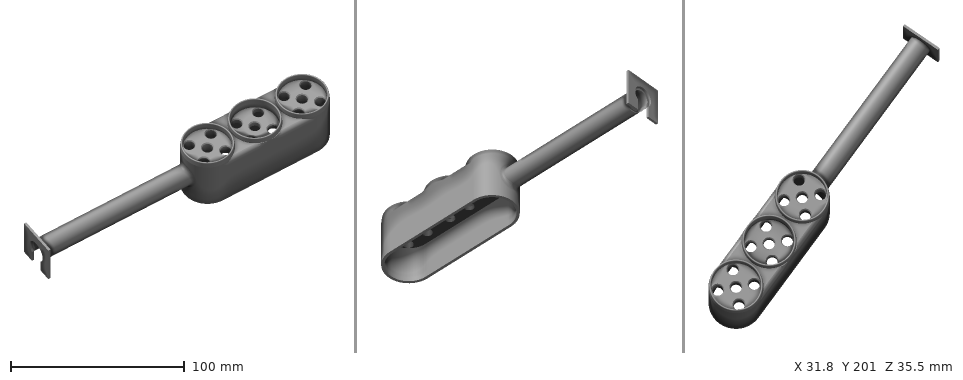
import cadquery as cq
import math

housing_width = 31.8
cup_pitch = 33.0
cup_count = 3
overall_length = 201.0
overall_height = 35.5
deck_height = 32.2
wall = 1.8
cavity_height = 25.3
housing_radius = housing_width / 2
end_cup_y = cup_pitch * (cup_count - 1) / 2
cup_positions = [cup_pitch * i - end_cup_y for i in range(cup_count)]

cup_base_diameter = housing_width
cup_shoulder_diameter = 31.0
recess_diameter = 28.5
rim_rounding = 0.5
end_floor_height = 31.4
middle_floor_height = 28.7

hole_diameter = 6.5
hole_spacing = 15.0
hole_chamfer = 0.6

edge_inset = 2.5
edge_drop = 3.0
end_run_out_start = 2.8
end_run_out_length = 2.6

tube_diameter = 13.3
bore_diameter = 10.2
tube_axis_height = 17.7
root_fillet = 2.0
notch_length = 6.6

plate_width = 24.7
plate_height = 25.3
plate_thickness = 1.5
slot_width = 8.8

housing_front_y = -end_cup_y - housing_radius
plate_back_y = end_cup_y + housing_radius - overall_length + plate_thickness


def disc(diameter, y, z, height):
    """Vertical cylinder centred at (0, y) that starts at height z."""
    return cq.Workplane("XY", origin=(0, y, z)).circle(diameter / 2).extrude(height)


def frustum(bottom_diameter, top_diameter, y, z, height):
    """Vertical truncated cone centred at (0, y) that starts at height z."""
    base = cq.Workplane("XY", origin=(0, y, z)).circle(bottom_diameter / 2)
    return base.workplane(offset=height).circle(top_diameter / 2).loft()


def edge_cutter(y, direction):
    """Sweep the waste outside the rounded +X top edge along a direction, starting at y."""
    x_inner = housing_radius - edge_inset
    z_lower = deck_height - edge_drop
    x_outer = housing_radius + edge_inset
    z_upper = deck_height + edge_drop
    radius = (edge_inset**2 + edge_drop**2) / (2 * edge_inset)
    half_angle = math.asin(edge_drop / radius) / 2
    arc_middle = (
        housing_radius - radius * (1 - math.cos(half_angle)),
        z_lower + radius * math.sin(half_angle),
    )
    profile = (
        cq.Workplane("XZ", origin=(0, y, 0))
        .moveTo(housing_radius, z_lower)
        .threePointArc(arc_middle, (x_inner, deck_height))
        .lineTo(x_inner, z_upper)
        .lineTo(x_outer, z_upper)
        .lineTo(x_outer, z_lower)
        .close()
    )
    return cq.Workplane(cq.Solid.extrudeLinear(profile.val(), [], cq.Vector(*direction)))


def rounded_edge_waste():
    """Waste along the +X top edge for the half of the housing at +Y."""
    deck_start = math.sqrt((cup_base_diameter / 2) ** 2 - (housing_radius - edge_inset) ** 2)
    deck_end = end_cup_y - end_run_out_start
    straight = edge_cutter(deck_start, (0, deck_end - deck_start, 0))
    middle_run_out = edge_cutter(deck_start, (0, -deck_start, edge_drop))
    end_run_out = edge_cutter(deck_end, (0, end_run_out_length, edge_drop))
    return straight.union(middle_run_out).union(end_run_out)


def make_body_block():
    """Solid block with its long top edges rounded between the cups."""
    block = (
        cq.Workplane("XY")
        .slot2D(2 * end_cup_y + housing_width, housing_width, 90)
        .extrude(deck_height)
    )
    waste = rounded_edge_waste()
    for y in cup_positions:
        waste = waste.cut(disc(cup_base_diameter, y, 0, overall_height))
    waste = waste.union(waste.mirror("XZ"))
    return block.cut(waste).cut(waste.mirror("YZ"))


def add_tube(block):
    """Join the tube to the front of the block with a fillet, and bore it up to the block's wall."""
    start_y = -end_cup_y
    start = (0, start_y, tube_axis_height)
    length = start_y - plate_back_y
    rod = cq.Workplane("XZ", origin=start).circle(tube_diameter / 2).extrude(length)
    bore = cq.Workplane("XZ", origin=start).circle(bore_diameter / 2).extrude(length)
    notch = (
        cq.Workplane("XY", origin=(0, plate_back_y, tube_axis_height - tube_diameter))
        .box(slot_width, notch_length, tube_diameter, centered=(True, False, False))
    )
    joined = block.union(rod)
    root = cq.NearestToPointSelector((0, housing_front_y, tube_axis_height))
    joined = joined.edges(root).fillet(root_fillet)
    return joined.cut(bore.cut(block)).cut(notch)


def make_rim(y):
    """Ring on the deck whose wall ends in a half-round top."""
    outer = cup_shoulder_diameter / 2
    inner = outer - 2 * rim_rounding
    shoulder = overall_height - rim_rounding
    return (
        cq.Workplane("XZ", origin=(0, y, 0))
        .moveTo(recess_diameter / 2, deck_height)
        .lineTo(cup_base_diameter / 2, deck_height)
        .lineTo(outer, shoulder)
        .threePointArc((outer - rim_rounding, overall_height), (inner, shoulder))
        .close()
        .revolve(360, (0, 0, 0), (0, 1, 0))
    )


def hole_points():
    """Hole centres relative to the cup's centre."""
    half = hole_spacing / 2
    return [(0, 0), (half, half), (half, -half), (-half, half), (-half, -half)]


def make_housing():
    """Hollow housing with its cups and holes, one piece with the tube."""
    housing = add_tube(make_body_block())
    for y in cup_positions:
        housing = housing.union(make_rim(y))
    cavity_width = housing_width - 2 * wall
    cavity = cq.Workplane("XY").slot2D(2 * end_cup_y + cavity_width, cavity_width, 90).extrude(cavity_height)
    housing = housing.cut(cavity)
    for y in cup_positions:
        floor = middle_floor_height if y == 0 else end_floor_height
        housing = housing.cut(disc(recess_diameter, y, floor, deck_height - floor))
        for dx, dy in hole_points():
            drill = disc(hole_diameter, y + dy, 0, floor)
            sink = frustum(
                hole_diameter, hole_diameter + 2 * hole_chamfer, y + dy, floor - hole_chamfer, hole_chamfer
            )
            housing = housing.cut(drill.union(sink).translate((dx, 0, 0)))
    return housing


def make_plate():
    """Thin plate against the tube's end: a round hole as wide as the tube, open to the edge by a slot."""
    face = cq.Workplane("XZ", origin=(0, plate_back_y, tube_axis_height))
    plate = face.rect(plate_width, plate_height).extrude(plate_thickness)
    hole = face.circle(tube_diameter / 2).extrude(plate_thickness)
    slot = face.center(0, -plate_height / 4).rect(slot_width, plate_height / 2).extrude(plate_thickness)
    return plate.cut(hole).cut(slot)


housing = make_housing()
plate = make_plate()
result = cq.Compound.makeCompound([housing.val(), plate.val()])